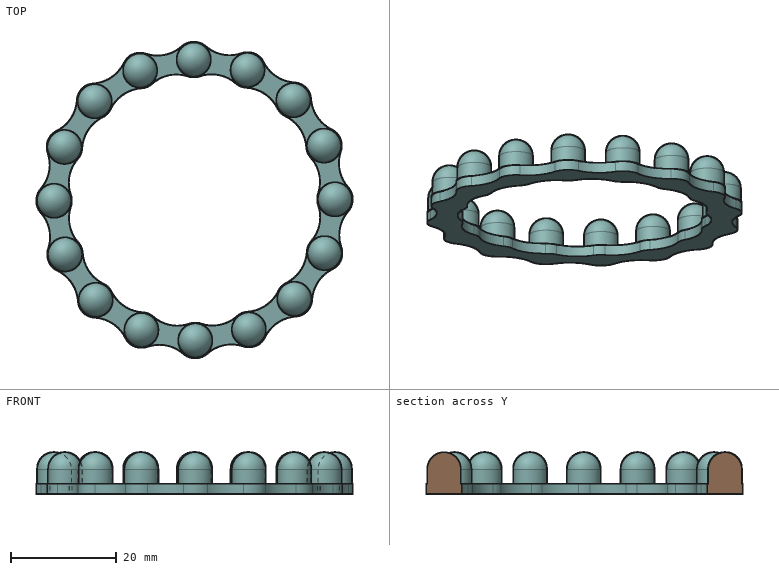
import math

import cadquery as cq

STUD_COUNT = 16
STUD_SPACING_ANGLE = 360.0 / STUD_COUNT
START_ANGLE = 0.3
PITCH_RADIUS = 26.66

PLATE_THICKNESS = 2.0
LOBE_RADIUS = 3.4
WAIST_HALF_WIDTH = 2.0

STUD_DIAMETER = 6.49
STUD_RADIUS = STUD_DIAMETER / 2
TOTAL_HEIGHT = 8.0
DOME_BASE_HEIGHT = TOTAL_HEIGHT - STUD_RADIUS

HALF_STEP = math.radians(STUD_SPACING_ANGLE / 2)
HALF_CHORD = PITCH_RADIUS * math.sin(HALF_STEP)
CHORD_DISTANCE = PITCH_RADIUS * math.cos(HALF_STEP)
WAIST_RADIUS = (HALF_CHORD**2 + WAIST_HALF_WIDTH**2 - LOBE_RADIUS**2) / (
    2 * (LOBE_RADIUS - WAIST_HALF_WIDTH)
)
TANGENT_SHARE = LOBE_RADIUS / (LOBE_RADIUS + WAIST_RADIUS)
TANGENT_ALONG = HALF_CHORD * (1 - TANGENT_SHARE)
TANGENT_OFFSET = (WAIST_HALF_WIDTH + WAIST_RADIUS) * TANGENT_SHARE


def rotated(x, y, angle):
    """Turn the point (x, y) about the ring centre by an angle in degrees."""
    a = math.radians(angle)
    return (x * math.cos(a) - y * math.sin(a), x * math.sin(a) + y * math.cos(a))


def wavy_outline(side):
    """Closed wavy edge of the plate: side = 1 for the outer edge, -1 for the inner."""
    waist_mid = CHORD_DISTANCE + side * WAIST_HALF_WIDTH
    tangent_x = CHORD_DISTANCE + side * TANGENT_OFFSET
    crest = PITCH_RADIUS + side * LOBE_RADIUS

    outline = cq.Workplane("XY").moveTo(*rotated(tangent_x, -TANGENT_ALONG, 0))
    for i in range(STUD_COUNT):
        link_angle = i * STUD_SPACING_ANGLE
        next_link_angle = link_angle + STUD_SPACING_ANGLE
        stud_angle = link_angle + STUD_SPACING_ANGLE / 2
        outline = outline.threePointArc(
            rotated(waist_mid, 0, link_angle),
            rotated(tangent_x, TANGENT_ALONG, link_angle),
        )
        outline = outline.threePointArc(
            rotated(crest, 0, stud_angle),
            rotated(tangent_x, -TANGENT_ALONG, next_link_angle),
        )
    return outline.close()


def base_plate():
    outer = wavy_outline(1).extrude(PLATE_THICKNESS)
    opening = wavy_outline(-1).extrude(PLATE_THICKNESS)
    return outer.cut(opening).rotate((0, 0, 0), (0, 0, 1), STUD_SPACING_ANGLE / 2)


def domed_stud():
    """Round stud on the Z axis with a hemispherical top, standing on the plate."""
    dome_mid = STUD_RADIUS * math.sqrt(0.5)
    return (
        cq.Workplane("XZ")
        .moveTo(0, PLATE_THICKNESS)
        .lineTo(STUD_RADIUS, PLATE_THICKNESS)
        .lineTo(STUD_RADIUS, DOME_BASE_HEIGHT)
        .threePointArc((dome_mid, DOME_BASE_HEIGHT + dome_mid), (0, TOTAL_HEIGHT))
        .close()
        .revolve(360, (0, 0, 0), (0, 1, 0))
    )


ring = base_plate()
stud = domed_stud().translate((PITCH_RADIUS, 0, 0))
for i in range(STUD_COUNT):
    ring = ring.union(stud.rotate((0, 0, 0), (0, 0, 1), i * STUD_SPACING_ANGLE))

result = ring.rotate((0, 0, 0), (0, 0, 1), START_ANGLE)